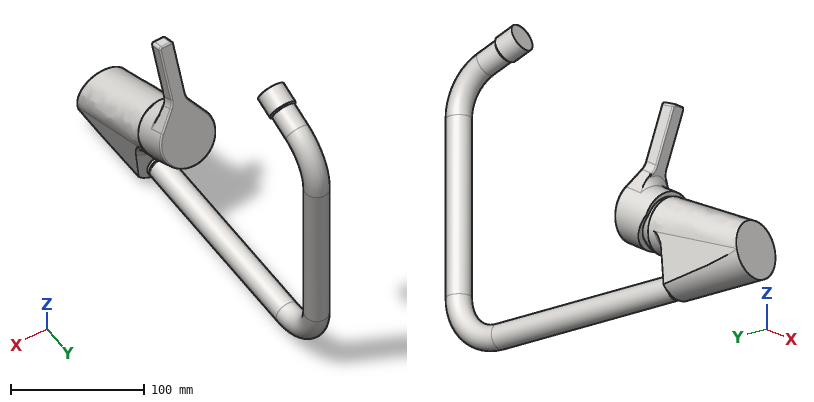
import cadquery as cq
import math


def along(start, direction, distance):
    """Point in the X = 0 plane (y, z) reached from start at an angle above the +Y axis."""
    angle = math.radians(direction)
    return (start[0] + distance * math.cos(angle), start[1] + distance * math.sin(angle))


def tilted_plane(point, direction):
    """Work plane centred on a (y, z) point, facing up and back, with its local x axis pointing up."""
    angle = math.radians(direction)
    return cq.Plane(
        origin=(0, point[0], point[1]),
        xDir=(0, -math.sin(angle), math.cos(angle)),
        normal=(0, math.cos(angle), math.sin(angle)),
    )


cutter = 120.3
cap_allowance = 18
selection_margin = 0.5


housing_diameter = 46.0
housing_radius = housing_diameter / 2
housing_length = 75.8
neck_tilt = 24
neck_center = (84.2, 61.0)
flat_half_width_front = 20.7
flat_half_width_rear = 16.8
flat_lean = 5.5
throat_fillet = 7.2

ball_radius = 23.2
ball_depth = math.sqrt(ball_radius**2 - housing_radius**2)

cap_diameter = 49.0
cap_radius = cap_diameter / 2
cap_tilt = 29.5
lever_tilt = 20.7
lever_center = (116.0, 80.3)
lever_reach = 84.5
plate_root = 9
lever_width = 12.5
lever_thickness = 12
lever_edge = 1.2
tip_corner = 2.5
flare_angle = 35
flare_blend = 12
cove_radius = 7.5
rim_gap = 3.5
relief_start = 1.5
relief_tilt = 24

tube_diameter = 20.0
tube_radius = tube_diameter / 2
tube_height = 11.0
tube_start = 79.0
rear_reach = 300.7
bend_radius = 40.0
upper_bend_height = 193.7
outlet_tilt = 20
outlet_length = 19.5
collar_chamfer = 1.0

leg_y = rear_reach - tube_radius
bend_start = (leg_y - bend_radius, tube_height)
bend_middle = along((leg_y - bend_radius, tube_height + bend_radius), -45, bend_radius)
leg_bottom = (leg_y, tube_height + bend_radius)
leg_top = (leg_y, upper_bend_height)
upper_bend_center = (leg_y - bend_radius, upper_bend_height)
upper_bend_angle = 90 - outlet_tilt
upper_bend_middle = along(upper_bend_center, upper_bend_angle / 2, bend_radius)
outlet_start = along(upper_bend_center, upper_bend_angle, bend_radius)
outlet_end = along(outlet_start, 180 - outlet_tilt, outlet_length)

nozzle_diameter = 23.0
nozzle_length = 18.3
nozzle_chamfer = 1.2


def make_housing():
    """Sloping barrel on a level base with side flats, rounded where the barrel leaves the rear face."""
    front = cq.Workplane(tilted_plane((0, housing_radius), 0)).circle(housing_radius)
    neck = cq.Workplane(tilted_plane(neck_center, neck_tilt)).circle(housing_radius)
    barrel = cq.Workplane(
        cq.Solid.makeLoft([front.wires().val(), neck.wires().val()], True)
    )

    base = (
        cq.Workplane("XZ", origin=(0, 0, housing_radius))
        .circle(housing_radius)
        .extrude(-housing_length)
    )
    axis_slope = (neck_center[1] - housing_radius) / neck_center[0]
    infill = (
        cq.Workplane("YZ")
        .moveTo(0, housing_radius)
        .lineTo(housing_length, housing_radius)
        .lineTo(housing_length, housing_radius + axis_slope * housing_length)
        .close()
        .extrude(housing_radius, both=True)
    )
    flanks = (
        cq.Workplane("XY")
        .moveTo(-flat_half_width_front, 0)
        .lineTo(flat_half_width_front, 0)
        .lineTo(flat_half_width_rear, housing_length)
        .lineTo(-flat_half_width_rear, housing_length)
        .close()
        .extrude(3 * housing_radius, taper=-flat_lean)
    )
    body = base.union(infill).intersect(flanks).union(barrel)
    throat = cq.selectors.BoxSelector(
        (-flat_half_width_rear, housing_length - selection_margin, housing_radius),
        (flat_half_width_rear, housing_length + selection_margin, housing_diameter),
    )
    return body.edges(throat).fillet(throat_fillet)


def make_ball():
    """Part of a ball that stands on the neck of the housing and carries the lever."""
    center = along(neck_center, neck_tilt, -ball_depth)
    ball = cq.Workplane("XY", origin=(0, *center)).sphere(ball_radius)
    above_neck = (
        cq.Workplane(tilted_plane(neck_center, neck_tilt))
        .circle(2 * ball_radius)
        .extrude(2 * ball_radius)
    )
    return ball.intersect(above_neck)


def lever_outline(plane):
    """Round cap with tangent flanks that narrow to the handle; the handle points along local x."""
    half = lever_width / 2
    flare = math.radians(flare_angle)
    tangent = (cap_radius * math.sin(flare), cap_radius * math.cos(flare))
    corner_reach = tangent[0] + (tangent[1] - half) / math.tan(flare)
    setback = flare_blend * math.tan(flare / 2)
    blend_start = (corner_reach - setback * math.cos(flare), half + setback * math.sin(flare))
    blend_end = (corner_reach + setback, half)
    blend_middle = (
        blend_end[0] - flare_blend * math.sin(flare / 2),
        half + flare_blend * (1 - math.cos(flare / 2)),
    )
    return (
        cq.Workplane(plane)
        .moveTo(cutter, half)
        .lineTo(*blend_end)
        .threePointArc(blend_middle, blend_start)
        .lineTo(*tangent)
        .threePointArc((-cap_radius, 0), (tangent[0], -tangent[1]))
        .lineTo(blend_start[0], -blend_start[1])
        .threePointArc((blend_middle[0], -blend_middle[1]), (blend_end[0], -half))
        .lineTo(cutter, -half)
        .close()
    )


def make_cove(cap_plane):
    """Ring with a concave quarter round that blends the cap's side into the underside of the handle."""
    skew = math.radians(cap_tilt - lever_tilt)
    corner = cap_plane.toLocalCoords(
        tilted_plane(lever_center, lever_tilt).toWorldCoords((0, 0, -lever_thickness))
    )
    under_z = corner.z + (cap_radius - corner.x) * math.tan(skew)
    setback = cove_radius * math.tan(math.radians(45) - skew / 2)
    rim = (cap_radius + setback * math.cos(skew), under_z + setback * math.sin(skew))
    foot = (cap_radius, under_z - setback)
    center = (cap_radius + cove_radius, foot[1])
    middle_angle = math.atan2(rim[1] + foot[1] - 2 * center[1], rim[0] + foot[0] - 2 * center[0])
    middle = (
        center[0] + cove_radius * math.cos(middle_angle),
        center[1] + cove_radius * math.sin(middle_angle),
    )
    section_plane = cq.Plane(origin=cap_plane.origin, xDir=cap_plane.xDir, normal=(-1, 0, 0))
    return (
        cq.Workplane(section_plane)
        .moveTo(0, foot[1])
        .lineTo(*foot)
        .threePointArc(middle, rim)
        .lineTo(rim[0], rim[1] + lever_thickness / 2)
        .lineTo(0, rim[1] + lever_thickness / 2)
        .close()
        .revolve(360, (0, 0, 0), (0, 1, 0))
    )


def make_lever(ball):
    """Round cap with a slanted rim and a flat handle, hollowed to fit over the ball."""
    cap_plane = tilted_plane(along(lever_center, cap_tilt, cap_allowance), cap_tilt)
    top_plane = tilted_plane(lever_center, lever_tilt)
    keyhole = lever_outline(cap_plane).extrude(-cutter)
    plate_length = lever_reach - plate_root
    plate_slab = (
        cq.Workplane(top_plane)
        .center(plate_root + plate_length / 2, 0)
        .rect(plate_length, cap_diameter)
        .extrude(-lever_thickness)
    )
    tip = cq.selectors.DirectionMinMaxSelector(top_plane.xDir, True)
    underside = cq.selectors.DirectionMinMaxSelector(top_plane.zDir, False)
    upright = cq.selectors.ParallelDirSelector(top_plane.zDir)
    plate = keyhole.intersect(plate_slab)
    plate = plate.faces(tip).edges(upright).fillet(tip_corner)
    plate = plate.faces(underside).edges().fillet(lever_edge)

    above = cq.Workplane(top_plane).rect(2 * cutter, cutter).extrude(cutter)
    rim_center = along(neck_center, neck_tilt, rim_gap)
    below = cq.Workplane(tilted_plane(rim_center, neck_tilt)).rect(cutter, cutter).extrude(-cutter)
    hinge = along(rim_center, neck_tilt + 90, relief_start)
    relief_plane = tilted_plane(hinge, neck_tilt + relief_tilt)
    relief = cq.Workplane(relief_plane).center(-cutter / 2, 0).rect(cutter, cutter).extrude(-cutter)
    cap = cq.Workplane(cap_plane).circle(cap_radius).extrude(-cutter)
    cap = cap.cut(above).cut(below).cut(relief)

    cove = make_cove(cap_plane).intersect(keyhole).cut(above)
    lever = cap.union(plate).union(cove)
    top_face = cq.selectors.DirectionMinMaxSelector(top_plane.zDir, True)
    lever = lever.faces(top_face).edges().fillet(lever_edge)
    return lever.cut(ball)


def make_collar():
    """Short round seat between the housing and the tube, chamfered at the tube end."""
    return (
        cq.Workplane("XZ", origin=(0, housing_length, tube_height))
        .circle(tube_radius)
        .extrude(housing_length - tube_start)
        .faces(">Y")
        .chamfer(collar_chamfer)
    )


def make_tube():
    """Round spout: level run, quarter bend, upright, upper bend and sloping outlet."""
    path = (
        cq.Workplane("YZ")
        .moveTo(tube_start, tube_height)
        .lineTo(*bend_start)
        .threePointArc(bend_middle, leg_bottom)
        .lineTo(*leg_top)
        .threePointArc(upper_bend_middle, outlet_start)
        .lineTo(*outlet_end)
    )
    return cq.Workplane("XZ", origin=(0, tube_start, tube_height)).circle(tube_radius).sweep(path)


def make_nozzle():
    """Wider sleeve on the end of the outlet, chamfered where the tube enters."""
    plane = tilted_plane(outlet_end, 180 - outlet_tilt)
    return (
        cq.Workplane(plane)
        .circle(nozzle_diameter / 2)
        .extrude(nozzle_length)
        .faces(">Y")
        .chamfer(nozzle_chamfer)
    )


housing = make_housing()
ball = make_ball()
lever = make_lever(ball)
collar = make_collar()
tube = make_tube()
nozzle = make_nozzle()
result = cq.Compound.makeCompound(
    [housing.val(), ball.val(), lever.val(), collar.val(), tube.val(), nozzle.val()]
)